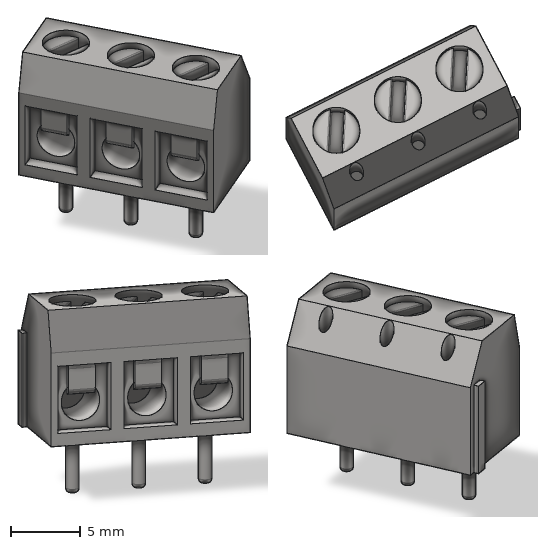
import cadquery as cq


TOTAL_LENGTH = 15.4
TOTAL_HEIGHT = 14.3

POLE_COUNT = 3
RIB_HEIGHT = 0.4
HOUSING_LENGTH = TOTAL_LENGTH - RIB_HEIGHT
PITCH = HOUSING_LENGTH / POLE_COUNT
POLE_POSITIONS = [(pole + 0.5) * PITCH for pole in range(POLE_COUNT)]

HOUSING_DEPTH = 7.6
HOUSING_HEIGHT = 10.0
SHOULDER_HEIGHT = 7.0
FRONT_SLOPE_RUN = 0.82
BACK_SLOPE_RUN = 1.82

RIB_WIDTH = 1.0
RIB_BACK_MARGIN = 0.5
RIB_LIP = 0.11
RIB_TAPER = 0.06

WINDOW_WIDTH = 4
WINDOW_BOTTOM = 0.97
WINDOW_TOP = 5.98
WINDOW_DEPTH = 1.0
WIRE_BORE_DIAMETER = 2.9
WIRE_BORE_HEIGHT = 3.0

SCREW_DIAMETER = 3.4
SCREW_Y = 3.1
SCREW_RECESS = 0.5
SCREW_BOTTOM = WINDOW_TOP
SCREW_LENGTH = HOUSING_HEIGHT - SCREW_RECESS - SCREW_BOTTOM
SLOT_WIDTH = 1.0
SLOT_DEPTH = 1.0
SLOT_ANGLE = 60
SLOT_ROUNDING = 0.1

WIRE_BORE_END = SCREW_Y + SCREW_DIAMETER / 2

BACK_HOLE_DIAMETER = 1.0
BACK_HOLE_SETBACK = 1.3
BACK_HOLE_Y = HOUSING_DEPTH - BACK_HOLE_SETBACK

GUARD_WIDTH = 2
GUARD_BOTTOM = 3.59
GUARD_THICKNESS = 0.4

PIN_DIAMETER = 1.0
PIN_LENGTH = TOTAL_HEIGHT - HOUSING_HEIGHT
PIN_TIP_ROUNDING = 0.34


def vertical_cylinder(diameter, length, x, y, bottom):
    return cq.Workplane("XY", origin=(x, y, bottom)).circle(diameter / 2).extrude(length)


def make_housing_block():
    """Prism along X with a steep front slope and a flatter back slope."""
    profile = [
        (0, 0),
        (HOUSING_DEPTH, 0),
        (HOUSING_DEPTH, SHOULDER_HEIGHT),
        (HOUSING_DEPTH - BACK_SLOPE_RUN, HOUSING_HEIGHT),
        (FRONT_SLOPE_RUN, HOUSING_HEIGHT),
        (0, SHOULDER_HEIGHT),
    ]
    return cq.Workplane("YZ").polyline(profile).close().extrude(HOUSING_LENGTH)


def make_rib():
    """Upright dovetail rib: narrow at the housing, with a straight outer lip."""
    back = HOUSING_DEPTH - RIB_BACK_MARGIN
    front = back - RIB_WIDTH
    lip_x = RIB_LIP - RIB_HEIGHT
    section = [
        (0, front + RIB_TAPER),
        (lip_x, front),
        (-RIB_HEIGHT, front),
        (-RIB_HEIGHT, back),
        (lip_x, back),
        (0, back - RIB_TAPER),
    ]
    return cq.Workplane("XY").polyline(section).close().extrude(SHOULDER_HEIGHT)


def make_pole_cavities(x):
    """Everything cut from the housing at one pole."""
    window = cq.Workplane("XY").box(
        WINDOW_WIDTH, WINDOW_DEPTH, WINDOW_TOP - WINDOW_BOTTOM, centered=(True, False, False)
    ).translate((x, 0, WINDOW_BOTTOM))
    wire_bore = (
        cq.Workplane("XZ", origin=(x, 0, WIRE_BORE_HEIGHT))
        .circle(WIRE_BORE_DIAMETER / 2)
        .extrude(-WIRE_BORE_END)
    )
    screw_hole = vertical_cylinder(
        SCREW_DIAMETER, HOUSING_HEIGHT - SCREW_BOTTOM, x, SCREW_Y, SCREW_BOTTOM
    )
    back_hole = vertical_cylinder(
        BACK_HOLE_DIAMETER, HOUSING_HEIGHT - SHOULDER_HEIGHT, x, BACK_HOLE_Y, SHOULDER_HEIGHT
    )
    return window.union(wire_bore).union(screw_hole).union(back_hole)


def make_housing():
    housing = make_housing_block().union(make_rib())
    for x in POLE_POSITIONS:
        housing = housing.cut(make_pole_cavities(x))
    return housing


def make_screw(x):
    """Headless screw with a diagonal slot, rounded at its rims and along its floor."""
    slot = (
        cq.Workplane("XY")
        .box(2 * SCREW_DIAMETER, SLOT_WIDTH, SLOT_DEPTH, centered=(True, True, False))
        .edges("|X and <Z")
        .fillet(SLOT_ROUNDING)
        .translate((0, 0, SCREW_LENGTH - SLOT_DEPTH))
    )
    screw = cq.Workplane("XY").circle(SCREW_DIAMETER / 2).extrude(SCREW_LENGTH).cut(slot)
    screw = screw.faces(">Z").edges("|X").fillet(SLOT_ROUNDING)
    screw = screw.rotate((0, 0, 0), (0, 0, 1), SLOT_ANGLE)
    return screw.translate((x, SCREW_Y, SCREW_BOTTOM))


def make_wire_guard(x):
    """Plate on the window floor with quarter-round top and bottom edges as deep as the plate."""
    front = WINDOW_DEPTH - GUARD_THICKNESS
    straight_bottom = GUARD_BOTTOM + GUARD_THICKNESS
    straight_top = WINDOW_TOP - GUARD_THICKNESS
    plate = (
        cq.Workplane("YZ", origin=(x - GUARD_WIDTH / 2, 0, 0))
        .moveTo(WINDOW_DEPTH, GUARD_BOTTOM)
        .radiusArc((front, straight_bottom), GUARD_THICKNESS)
        .lineTo(front, straight_top)
        .radiusArc((WINDOW_DEPTH, WINDOW_TOP), GUARD_THICKNESS)
        .close()
    )
    return plate.extrude(GUARD_WIDTH)


def make_pin(x):
    """Round solder pin below the housing, on the screw axis, with a rounded tip."""
    pin = vertical_cylinder(PIN_DIAMETER, PIN_LENGTH, x, SCREW_Y, -PIN_LENGTH)
    return pin.faces("<Z").edges().fillet(PIN_TIP_ROUNDING)


housing = make_housing()
screws = [make_screw(x) for x in POLE_POSITIONS]
wire_guards = [make_wire_guard(x) for x in POLE_POSITIONS]
pins = [make_pin(x) for x in POLE_POSITIONS]

result = cq.Compound.makeCompound(
    [housing.val(), *[body.val() for body in screws + wire_guards + pins]]
)